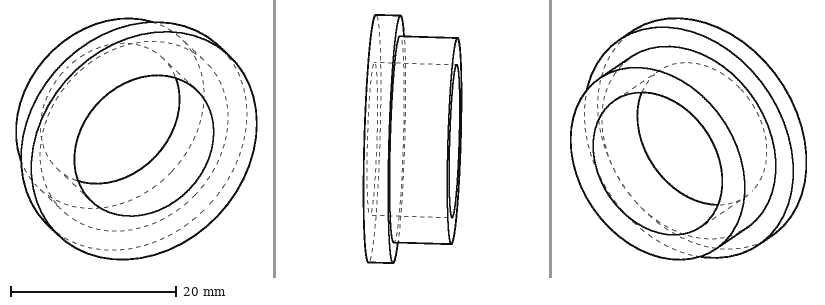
import cadquery as cq

flange_diameter = 30.0
barrel_diameter = 25.0
bore_diameter = 18.5
total_length = 10.0
flange_thickness = 3.0
barrel_length = total_length - flange_thickness

barrel = cq.Workplane("YZ").circle(barrel_diameter / 2).extrude(barrel_length)
flange = (
    cq.Workplane("YZ")
    .workplane(offset=barrel_length)
    .circle(flange_diameter / 2)
    .extrude(flange_thickness)
)

bore = cq.Workplane("YZ").circle(bore_diameter / 2).extrude(total_length)

result = barrel.union(flange).cut(bore)